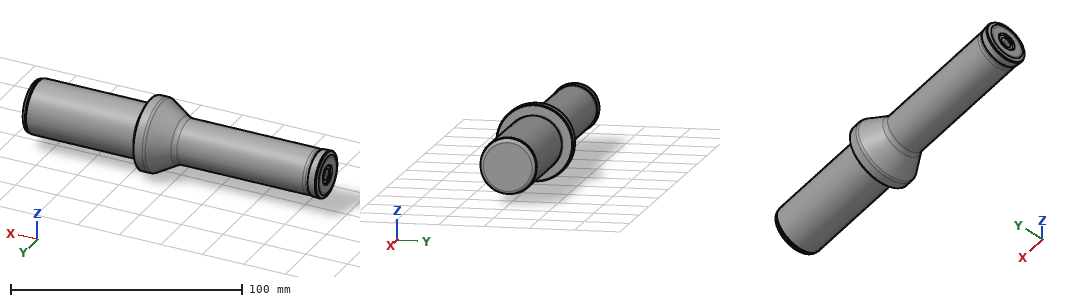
import cadquery as cq
import math

TIP_LENGTH = 4.5
NECK_END_X = 5.8
ROD_SHOULDER_X = 7.1
COLLAR_RIM_X = 80.5
COLLAR_BACK_X = 85.5
RELIEF_END_X = 86.7
TOTAL_LENGTH = 141.6
SHANK_END_STEP_X = 139.1

TIP_RADIUS = 21.5 / 2
TIP_BACK_RADIUS = 21.1 / 2
NECK_RADIUS = 20.5 / 2
ROD_RADIUS = 20.8 / 2
COLLAR_RADIUS = 34.0 / 2
SHANK_RADIUS = 25.0 / 2
RELIEF_RADIUS = 24.5 / 2

FACE_RADIUS = 8.9
FACE_RIM_RADIUS = 8.0
FACE_RECESS = 0.07
FACE_RIM_DROP = 0.4
FACE_OUTER_RADIUS = 10.5
TIP_EDGE_LENGTH = 1.0

CONE_ANGLE = 30.0
CONE_FOOT_FILLET = 5.0
COLLAR_RIM_FILLET = 2.5
COLLAR_BACK_CHAMFER = 0.4
RELIEF_FILLET = 0.3
STEP_LENGTH = 0.8
SHANK_END_FILLET = 1.5

RECESS_MOUTH_RADIUS = 4.5
RECESS_RADIUS = 3.8
RECESS_DEPTH = 0.5
INNER_STEP_RADIUS = 2.5
INNER_STEP_DEPTH = 0.7
DIMPLE_RADIUS = 1.1
DIMPLE_FLOOR_RADIUS = 0.5
DIMPLE_DEPTH = 0.8

CONE_LENGTH = (COLLAR_RADIUS - ROD_RADIUS) / math.tan(math.radians(CONE_ANGLE))
CONE_FOOT_X = COLLAR_RIM_X - CONE_LENGTH


def revolve_profile(points):
    """Revolve a closed outline of (x, radius) points about the X axis."""
    return cq.Workplane("XY").polyline(points).close().revolve(360, (0, 0, 0), (1, 0, 0))


def circle_edge(x, radius):
    """Select the circular edge of the given radius centred on the axis at x."""
    margin = 0.01
    reach = radius + margin
    return cq.selectors.BoxSelector(
        (x - margin, -reach, -reach), (x + margin, reach, reach), boundingbox=True
    )


def make_tip():
    """Slightly back-tapered head with a shallow stepped recess in its face."""
    return revolve_profile([
        (FACE_RECESS, RECESS_MOUTH_RADIUS),
        (FACE_RECESS, FACE_RIM_RADIUS),
        (0, FACE_RADIUS),
        (FACE_RIM_DROP, FACE_OUTER_RADIUS),
        (TIP_EDGE_LENGTH, TIP_RADIUS),
        (TIP_LENGTH, TIP_BACK_RADIUS),
        (TIP_LENGTH, 0),
        (DIMPLE_DEPTH, 0),
        (DIMPLE_DEPTH, DIMPLE_FLOOR_RADIUS),
        (INNER_STEP_DEPTH, DIMPLE_RADIUS),
        (INNER_STEP_DEPTH, INNER_STEP_RADIUS),
        (RECESS_DEPTH, INNER_STEP_RADIUS),
        (RECESS_DEPTH, RECESS_RADIUS),
    ])


def make_holder():
    """Rod, conical collar and cylindrical shank turned from one piece."""
    holder = revolve_profile([
        (TIP_LENGTH, 0),
        (TIP_LENGTH, NECK_RADIUS),
        (NECK_END_X, NECK_RADIUS),
        (ROD_SHOULDER_X, ROD_RADIUS),
        (CONE_FOOT_X, ROD_RADIUS),
        (COLLAR_RIM_X, COLLAR_RADIUS),
        (COLLAR_BACK_X, COLLAR_RADIUS),
        (COLLAR_BACK_X, RELIEF_RADIUS),
        (RELIEF_END_X, RELIEF_RADIUS),
        (RELIEF_END_X + STEP_LENGTH, SHANK_RADIUS),
        (SHANK_END_STEP_X, SHANK_RADIUS),
        (SHANK_END_STEP_X + STEP_LENGTH, RELIEF_RADIUS),
        (TOTAL_LENGTH, RELIEF_RADIUS),
        (TOTAL_LENGTH, 0),
    ])
    holder = holder.edges(circle_edge(CONE_FOOT_X, ROD_RADIUS)).fillet(CONE_FOOT_FILLET)
    holder = holder.edges(circle_edge(COLLAR_RIM_X, COLLAR_RADIUS)).fillet(COLLAR_RIM_FILLET)
    holder = holder.edges(circle_edge(COLLAR_BACK_X, RELIEF_RADIUS)).fillet(RELIEF_FILLET)
    holder = holder.edges(circle_edge(COLLAR_BACK_X, COLLAR_RADIUS)).chamfer(COLLAR_BACK_CHAMFER)
    return holder.faces(">X").edges().fillet(SHANK_END_FILLET)


tip = make_tip()
holder = make_holder()

result = cq.Compound.makeCompound([tip.val(), holder.val()])